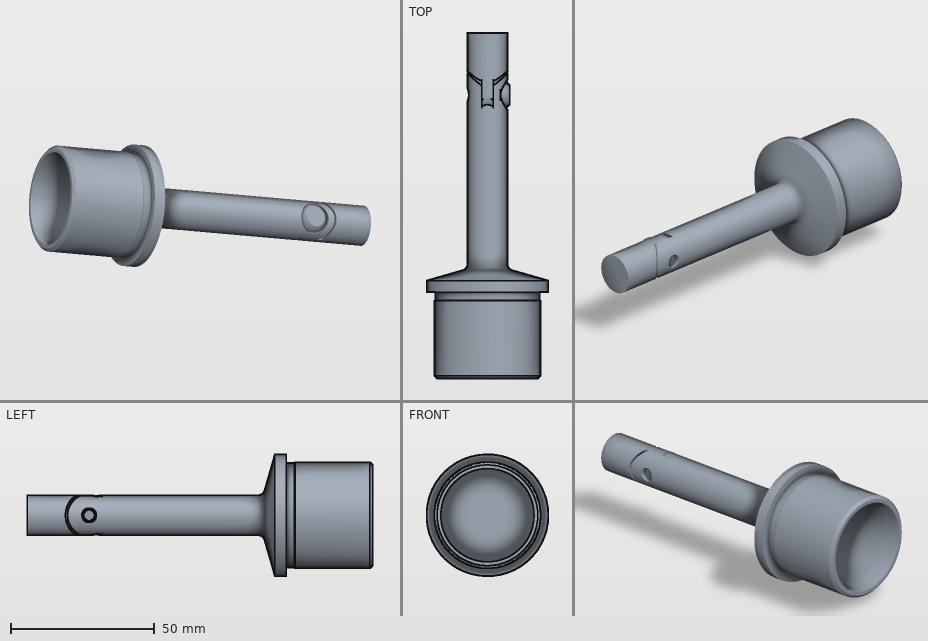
import cadquery as cq
import math


total_length = 120.0
cup_diameter = 37.0
cup_bore_diameter = 32.4
cup_bore_depth = 30.0
mouth_chamfer = 1.0
neck_diameter = 36.46
neck_start = 27.2
flange_diameter = 42.4
flange_start = 30.0
flange_thickness = 4.0
cone_angle = 16.0

stem_diameter = 14.0
stem_fillet = 2.0

hinge_y = 98.5
tongue_width = 4.0
tongue_end_radius = stem_diameter / 2
ear_radius = 7.5
slot_radius = 7.8
head_relief_radius = 8.25
block_height = 2 * slot_radius

thread_diameter = 5.0
thread_tip_chamfer = 0.6
thread_tip_x = -5.3
shank_diameter = 6.5
shank_hole_diameter = 6.6
counterbore_diameter = 10.5
counterbore_floor_x = 4.5
screw_head_diameter = 9.8
screw_head_top_diameter = 6.5
screw_head_top_x = 7.8
screw_head_rim = 0.3
screw_head_bulge = 0.4

stem_radius = stem_diameter / 2
flange_radius = flange_diameter / 2
flange_end = flange_start + flange_thickness
cone_end = flange_end + (flange_radius - stem_radius) * math.tan(math.radians(cone_angle))


def rod_y(diameter, start, end):
    """Cylinder on the main axis between two Y positions."""
    return cq.Workplane("XZ", origin=(0, start, 0)).circle(diameter / 2).extrude(start - end)


def rod_x(diameter, start, end):
    """Cylinder on the hinge axis between two X positions."""
    return cq.Workplane("YZ", origin=(start, hinge_y, 0)).circle(diameter / 2).extrude(end - start)


def hinge_disc(radius, width):
    """Disc on the hinge axis, centred on X = 0."""
    return rod_x(2 * radius, -width / 2, width / 2)


def joint_block(width, start, end):
    """Block about the main axis, taller than the stem, between two Y positions."""
    centre = (0, (start + end) / 2, 0)
    return cq.Workplane(origin=centre).box(width, end - start, block_height)


def make_post():
    cup_radius = cup_diameter / 2
    neck_radius = neck_diameter / 2
    shoulder = cup_radius - neck_radius
    body = (
        cq.Workplane("XY")
        .polyline([
            (0, 0),
            (cup_radius - mouth_chamfer, 0),
            (cup_radius, mouth_chamfer),
            (cup_radius, neck_start - shoulder),
            (neck_radius, neck_start),
            (neck_radius, flange_start),
            (flange_radius, flange_start),
            (flange_radius, flange_end),
            (stem_radius, cone_end),
            (stem_radius, hinge_y),
            (0, hinge_y),
        ])
        .close()
        .revolve(360, (0, 0, 0), (0, 1, 0))
    )
    root_margin = 0.1
    stem_root = cq.selectors.BoxSelector(
        (-stem_radius, cone_end - root_margin, -stem_radius),
        (stem_radius, cone_end + root_margin, stem_radius),
    )
    body = body.edges(stem_root).fillet(stem_fillet)
    body = body.cut(rod_y(cup_bore_diameter, 0, cup_bore_depth))

    ears = rod_y(stem_diameter, hinge_y, total_length).intersect(hinge_disc(ear_radius, stem_diameter))
    body = body.union(ears)

    slot = joint_block(tongue_width, hinge_y, total_length).union(hinge_disc(slot_radius, tongue_width))
    body = body.cut(slot)

    body = body.cut(rod_x(thread_diameter, -stem_radius, 0))
    body = body.cut(rod_x(shank_hole_diameter, 0, stem_radius))
    return body.cut(rod_x(counterbore_diameter, counterbore_floor_x, stem_radius))


def make_swivel_head():
    tongue_end_y = hinge_y - tongue_end_radius
    head = rod_y(stem_diameter, tongue_end_y, total_length)

    end_waste = joint_block(stem_diameter, hinge_y - stem_diameter, hinge_y)
    end_waste = end_waste.cut(hinge_disc(tongue_end_radius, stem_diameter))
    head = head.cut(end_waste)

    for side in (-1, 1):
        cheek_start = side * tongue_width / 2
        cheek_end = side * stem_radius
        head = head.cut(rod_x(2 * head_relief_radius, cheek_start, cheek_end))
    return head.cut(rod_x(shank_hole_diameter, -stem_radius, stem_radius))


def make_screw():
    """Shoulder screw with a domed head, turned about the hinge axis."""
    thread_radius = thread_diameter / 2
    shank_radius = shank_diameter / 2
    head_radius = screw_head_diameter / 2
    top_radius = screw_head_top_diameter / 2
    shank_start_x = -tongue_width / 2
    rim_end_x = counterbore_floor_x + screw_head_rim
    dome_bulge = screw_head_bulge * math.sqrt(0.5)
    dome_middle = (
        (rim_end_x + screw_head_top_x) / 2 + dome_bulge,
        (head_radius + top_radius) / 2 + dome_bulge,
    )
    return (
        cq.Workplane("XY", origin=(0, hinge_y, 0))
        .moveTo(thread_tip_x, 0)
        .lineTo(thread_tip_x, thread_radius - thread_tip_chamfer)
        .lineTo(thread_tip_x + thread_tip_chamfer, thread_radius)
        .lineTo(shank_start_x, thread_radius)
        .lineTo(shank_start_x, shank_radius)
        .lineTo(counterbore_floor_x, shank_radius)
        .lineTo(counterbore_floor_x, head_radius)
        .lineTo(rim_end_x, head_radius)
        .threePointArc(dome_middle, (screw_head_top_x, top_radius))
        .lineTo(screw_head_top_x, 0)
        .close()
        .revolve(360, (0, 0, 0), (1, 0, 0))
    )


post = make_post()
swivel_head = make_swivel_head()
screw = make_screw()

result = cq.Compound.makeCompound([post.val(), swivel_head.val(), screw.val()])